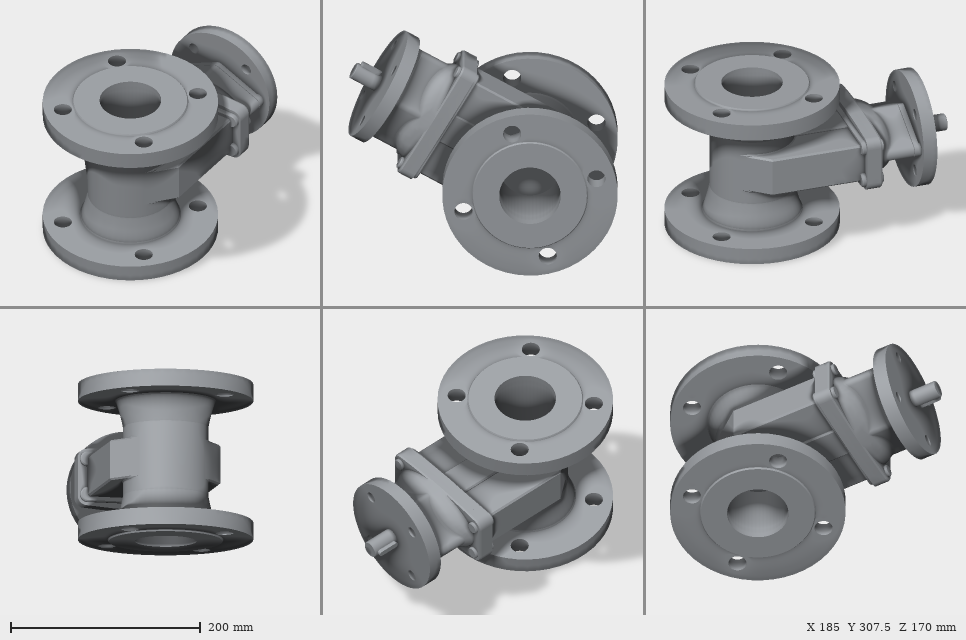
import cadquery as cq
import math


bore_diameter = 65.0
barrel_diameter = 90.0
barrel_half_height = 36.5
flare_diameter = 104.5
flare_mid_diameter = 96.0
root_diameter = 107.0
root_chamfer_height = 1.5

flange_diameter = 185.0
flange_thickness = 18.0
face_height = 1.8
face_outer_diameter = 122.5
face_inner_diameter = 120.0
face_to_face = 170.0
pipe_bolt_hole_diameter = 19.0
pipe_bolt_circle = 145.0
bolt_count = 4
first_bolt_angle = 45

slab_half_width = 60.0
slab_half_height = 21.5
slab_edge_chamfer = 1.8
slab_shoulder_y = 2.5
slab_nose_half_width = 34.7
rib_half_width = 17.8
rib_side_chamfer = 1.5
rib_half_height = 24.0
root_bevel = 1.2

joint_half_width = 69.8
joint_edge_half_height = 29.2
joint_mid_half_height = 33.2
joint_corner_radius = 9.8
joint_bottom_y = 105.0
joint_split_y = 112.5
joint_top_y = 121.8
joint_edge_height = 1.8
joint_edge_inset = 1.0
joint_bolt_x = joint_half_width - joint_corner_radius
joint_bolt_z = 19.0
bolt_head_diameter = 13.0
bolt_head_height = 3.0
bolt_head_chamfer = 1.0
nut_pad_diameter = 15.5
collar_thickness = 4.5
collar_edge_chamfer = 1.2

dome_half_width = 60.3
dome_half_depth = joint_mid_half_height
dome_base_y = joint_top_y - joint_edge_height
dome_height = 23.7
dome_crown_ratio = 0.6
dome_mid_ratio = 0.9
dome_mid_height = 12.3
dome_blend_radius = 2.5
dome_seam_angle = 45
neck_top_y = 162.7
neck_edge_chamfer = 0.5
neck_corner_diameter = 14.0
neck_half_width = 55.5
neck_half_height = 29.5

adapter_plate_thickness = 5.8
standoff_height = 1.5
mount_diameter = 125.0
mount_thickness = 15.0
mount_hole_diameter = 12.0
mount_bolt_circle = 93.8

stem_diameter = 18.0
stem_end_y = 215.0
stem_end_chamfer = 0.5
key_width = 6.0
key_length = 24.5
key_end_gap = 3.0
key_rise = 3.7
gate_diameter = 70.0
gate_thickness = 18.5

face_z = face_to_face / 2
flange_outer_z = face_z - face_height
flange_inner_z = flange_outer_z - flange_thickness
plate_top_y = neck_top_y + adapter_plate_thickness
mount_bottom_y = plate_top_y + standoff_height
neck_corner_x = neck_half_width - neck_corner_diameter / 2
neck_corner_z = neck_half_height - neck_corner_diameter / 2
stem_foot_y = gate_diameter / 2


def plane_at(y):
    """Plane facing +Y at the given height along the stem; sketch (u, v) maps to (X, -Z)."""
    return cq.Workplane(cq.Plane(origin=(0, y, 0), xDir=(1, 0, 0), normal=(0, 1, 0)))


def rods(points, diameter, bottom_y, top_y):
    """Cylinders along Y at the given (X, Z) places."""
    return plane_at(bottom_y).pushPoints(points).circle(diameter / 2).extrude(top_y - bottom_y)


def joint_bolt_points():
    return [(sx * joint_bolt_x, sz * joint_bolt_z) for sx in (-1, 1) for sz in (-1, 1)]


def joint_plate(bottom_y, top_y):
    """Rounded plate whose long edges bulge towards the middle."""
    plate = (
        plane_at(bottom_y)
        .moveTo(-joint_half_width, -joint_edge_half_height)
        .threePointArc((0, -joint_mid_half_height), (joint_half_width, -joint_edge_half_height))
        .lineTo(joint_half_width, joint_edge_half_height)
        .threePointArc((0, joint_mid_half_height), (-joint_half_width, joint_edge_half_height))
        .close()
        .extrude(top_y - bottom_y)
    )
    return plate.edges("|Y").fillet(joint_corner_radius)


def neck_prism(bottom_y, top_y):
    """Rhombus whose sharp outline is rounded about the four corner circles."""
    radius = neck_corner_diameter / 2
    side_angle = math.atan2(neck_corner_z, neck_corner_x)
    sharp_x = neck_corner_x + radius / math.sin(side_angle)
    sharp_z = sharp_x * neck_corner_z / neck_corner_x
    prism = (
        plane_at(bottom_y)
        .polyline([(sharp_x, 0), (0, sharp_z), (-sharp_x, 0), (0, -sharp_z)])
        .close()
        .extrude(top_y - bottom_y)
    )
    return prism.edges("|Y").fillet(radius)


def pipe():
    """Barrel, flares, flanges and raised faces, turned about Z."""
    half = (
        cq.Workplane("XZ")
        .lineTo(barrel_diameter / 2, 0)
        .lineTo(barrel_diameter / 2, barrel_half_height)
        .threePointArc(
            (flare_mid_diameter / 2, (barrel_half_height + flange_inner_z - root_chamfer_height) / 2),
            (flare_diameter / 2, flange_inner_z - root_chamfer_height),
        )
        .lineTo(root_diameter / 2, flange_inner_z)
        .lineTo(flange_diameter / 2, flange_inner_z)
        .lineTo(flange_diameter / 2, flange_outer_z)
        .lineTo(face_outer_diameter / 2, flange_outer_z)
        .lineTo(face_inner_diameter / 2, face_z)
        .lineTo(0, face_z)
        .close()
        .revolve(360, (0, 0, 0), (0, 1, 0))
    )
    return half.union(half.mirror("XY"))


def slab_block(half_height):
    """Gate housing with its nose ending on the barrel and its side edges bevelled."""
    nose_y = -math.sqrt((barrel_diameter / 2) ** 2 - slab_nose_half_width**2)
    block = (
        cq.Workplane("XY", origin=(0, 0, -half_height))
        .polyline(
            [
                (-slab_half_width, joint_bottom_y),
                (-slab_half_width, slab_shoulder_y),
                (-slab_nose_half_width, nose_y),
                (slab_nose_half_width, nose_y),
                (slab_half_width, slab_shoulder_y),
                (slab_half_width, joint_bottom_y),
            ]
        )
        .close()
        .extrude(2 * half_height)
    )
    return block.faces("|Z").edges("not |X").chamfer(slab_edge_chamfer)


def slab():
    """Gate housing with a raised rib on both flat faces."""
    rib = cq.Workplane("XY").box(2 * rib_half_width, joint_bottom_y, 2 * rib_half_height)
    rib = rib.edges("|Y").chamfer(rib_side_chamfer).translate((0, joint_bottom_y / 2, 0))
    return slab_block(slab_half_height).union(rib)


def slab_root():
    """Small bevel where the barrel rises out of the slab."""
    radius = barrel_diameter / 2
    height = slab_half_height + root_bevel
    ring = (
        cq.Workplane("XZ")
        .lineTo(radius + root_bevel, 0)
        .lineTo(radius + root_bevel, slab_half_height)
        .lineTo(radius, height)
        .lineTo(0, height)
        .close()
        .revolve(360, (0, 0, 0), (0, 1, 0))
    )
    ring = ring.union(ring.mirror("XY"))
    return ring.intersect(slab_block(height))


def collar():
    """Thickened band under the joint, with a round pad below each bolt."""
    bottom_y = joint_bottom_y - collar_thickness
    band_height = 2 * joint_bolt_z + nut_pad_diameter
    band = plane_at(bottom_y).rect(2 * slab_half_width, band_height).extrude(collar_thickness)
    band = band.union(rods(joint_bolt_points(), nut_pad_diameter, bottom_y, joint_bottom_y))
    return band.faces("<Y").edges().chamfer(collar_edge_chamfer)


def pipe_bolt_holes():
    """Bolt holes through both pipe flanges, but not through the slab between them."""
    upper = (
        cq.Workplane("XY", origin=(0, 0, flange_inner_z))
        .polarArray(pipe_bolt_circle / 2, first_bolt_angle, 360, bolt_count)
        .circle(pipe_bolt_hole_diameter / 2)
        .extrude(flange_thickness)
    )
    return upper.union(upper.mirror("XY"))


def make_body():
    bore = cq.Workplane("XY", origin=(0, 0, -face_z)).circle(bore_diameter / 2).extrude(face_to_face)
    body = pipe().union(slab()).union(slab_root()).union(collar())
    body = body.union(joint_plate(joint_bottom_y, joint_split_y))
    return body.cut(bore).cut(pipe_bolt_holes()).cut(make_gate()).cut(make_stem())


def dome():
    """Turned cap about the stem axis, squashed along Z to an elliptical plan."""
    cap = (
        cq.Workplane("XY", origin=(0, dome_base_y, 0))
        .lineTo(dome_half_width, 0)
        .threePointArc(
            (dome_half_width * dome_mid_ratio, dome_mid_height),
            (dome_half_width * dome_crown_ratio, dome_height),
        )
        .lineTo(0, dome_height)
        .close()
        .revolve(360, (0, 0, 0), (0, 1, 0))
    )
    squash = cq.Matrix(
        [[1, 0, 0, 0], [0, 1, 0, 0], [0, 0, dome_half_depth / dome_half_width, 0]]
    )
    cap = cap.rotate((0, 0, 0), (0, 1, 0), dome_seam_angle)
    return cq.Workplane(cap.val().transformGeometry(squash))


def bolt_heads():
    heads = rods(joint_bolt_points(), bolt_head_diameter, joint_top_y, joint_top_y + bolt_head_height)
    return heads.faces(">Y").edges().chamfer(bolt_head_chamfer)


def make_bonnet():
    flange = joint_plate(joint_split_y, joint_top_y)
    flange = flange.faces(">Y").edges().chamfer(joint_edge_height, joint_edge_inset)
    neck = neck_prism(joint_split_y, neck_top_y).faces(">Y").edges().chamfer(neck_edge_chamfer)
    domed_neck = neck.union(dome())
    seam_zone = cq.selectors.BoxSelector(
        (-dome_half_width, joint_top_y, -dome_half_depth),
        (dome_half_width, dome_base_y + dome_height, dome_half_depth),
        boundingbox=True,
    )
    domed_neck = domed_neck.edges(seam_zone).fillet(dome_blend_radius)
    bonnet = flange.union(domed_neck).union(bolt_heads())
    return bonnet.cut(make_stem())


def make_adapter():
    """Rhombic plate carrying the round actuator flange on two short standoffs."""
    standoff_points = [(-neck_corner_x, 0), (neck_corner_x, 0)]
    mount = plane_at(mount_bottom_y).circle(mount_diameter / 2).extrude(mount_thickness)
    holes = (
        plane_at(mount_bottom_y)
        .polarArray(mount_bolt_circle / 2, first_bolt_angle, 360, bolt_count)
        .circle(mount_hole_diameter / 2)
        .extrude(mount_thickness)
    )
    adapter = neck_prism(neck_top_y, plate_top_y)
    adapter = adapter.union(rods(standoff_points, neck_corner_diameter, plate_top_y, mount_bottom_y))
    return adapter.union(mount.cut(holes)).cut(make_stem())


def make_stem():
    """Shaft resting on the gate, with a round-ended key on its -X side."""
    shaft = rods([(0, 0)], stem_diameter, stem_foot_y, stem_end_y)
    shaft = shaft.faces(">Y").edges().chamfer(stem_end_chamfer)
    key_reach = stem_diameter / 2 + key_rise
    key = (
        cq.Workplane("YZ", origin=(-key_reach, stem_end_y - key_end_gap - key_length / 2, 0))
        .slot2D(key_length, key_width)
        .extrude(key_reach)
    )
    return shaft.union(key)


def make_gate():
    """Closed disc across the bore, seated in a matching recess of the body."""
    disc = cq.Workplane("XY").circle(gate_diameter / 2).extrude(gate_thickness)
    return disc.translate((0, 0, -gate_thickness / 2))


body = make_body()
bonnet = make_bonnet()
adapter = make_adapter()
stem = make_stem()
gate = make_gate()

bodies = [body, bonnet, adapter, stem, gate]
result = cq.Compound.makeCompound([part.solids().val() for part in bodies])